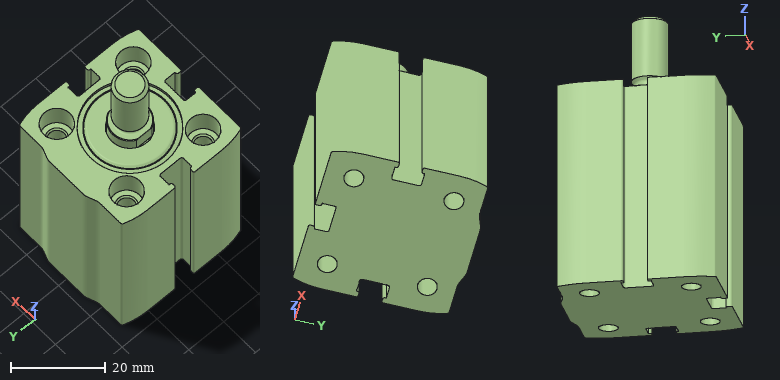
import cadquery as cq
import math

housing_height = 45.5
total_height = 64.5

width = 34.5
half_width = width / 2
back_y = 17.1
total_depth = 35.5
hump_flat_half = 5.8
hump_foot_half = 8.8
hump_round = 3.2
side_flat_half = 10.65
corner_x = 16.1
corner_round = 0.6

slot_mouth = 5.15
slot_width = 6.5
slot_depth = 4.5
slot_lip = 1.4
lip_outer_round = 0.4
slot_inner_round = 0.5

hole_spacing = 21.9
hole_diameter = 4.2
hole_chamfer = 0.4
counterbore_diameter = 7.5
counterbore_depth = 6.45

groove_diameter = 22.4
ledge_diameter = 20.0
ledge_depth = 0.1
ledge_slope = math.radians(30)
ledge_round = 0.1
gap_width = 0.2
cover_radius = 9.2
cover_slope = math.radians(40)
cover_round = 0.5

rod_diameter = 10.0
rod_insertion = 10.0
mouth_diameter = 10.4
mouth_depth = 1.6
collar_height = 3.1
collar_chamfer = 0.2
flat_distance = 8.95
flat_sink = 0.8
flat_end_slope = math.radians(30)
neck_diameter = 6.4
neck_round = 0.6
thread_diameter = 8.0
thread_start = 50.75
tip_diameter = 6.4

collar_top = housing_height + collar_height

pick_margin = 0.03


def revolve_about_z(outline):
    """Solid of revolution about the Z axis from (radius, height) points."""
    return cq.Workplane("XZ").polyline(outline).close().revolve(360, (0, 0, 0), (0, 1, 0))


def bow_midpoint(end_y):
    """Middle of the +X side's arc, which ends at end_y."""
    run = abs(end_y) - side_flat_half
    sag = half_width - corner_x
    radius = (run**2 + sag**2) / (2 * sag)
    half_angle = math.asin(run / radius) / 2
    mid_x = half_width - radius * (1 - math.cos(half_angle))
    mid_y = side_flat_half + radius * math.sin(half_angle)
    return mid_x, math.copysign(mid_y, end_y)


def housing_block():
    """Extruded outline: square with bowed X sides and a hump on +Y."""
    front_mid_x, front_mid_y = bow_midpoint(-half_width)
    back_mid_x, back_mid_y = bow_midpoint(back_y)
    hump_top = total_depth - half_width

    block = (
        cq.Workplane("XY")
        .moveTo(-corner_x, -half_width)
        .lineTo(corner_x, -half_width)
        .threePointArc((front_mid_x, front_mid_y), (half_width, -side_flat_half))
        .lineTo(half_width, side_flat_half)
        .threePointArc((back_mid_x, back_mid_y), (corner_x, back_y))
        .lineTo(hump_foot_half, back_y)
        .lineTo(hump_flat_half, hump_top)
        .lineTo(-hump_flat_half, hump_top)
        .lineTo(-hump_foot_half, back_y)
        .lineTo(-corner_x, back_y)
        .threePointArc((-back_mid_x, back_mid_y), (-half_width, side_flat_half))
        .lineTo(-half_width, -side_flat_half)
        .threePointArc((-front_mid_x, front_mid_y), (-corner_x, -half_width))
        .close()
        .extrude(housing_height)
    )
    corners = [(sx * corner_x, y) for sx in (-1, 1) for y in (-half_width, back_y)]
    hump_bends = [(sx * x, y) for sx in (-1, 1)
                  for x, y in ((hump_flat_half, hump_top), (hump_foot_half, back_y))]
    block = fillet_upright_edges(block, corners, corner_round)
    return fillet_upright_edges(block, hump_bends, hump_round)


def fillet_upright_edges(body, places, radius):
    """Round the full-height edges that stand at the given (x, y) places."""
    for x, y in places:
        box = cq.selectors.BoxSelector(
            (x - pick_margin, y - pick_margin, 0),
            (x + pick_margin, y + pick_margin, housing_height),
        )
        body = body.edges("|Z").edges(box).fillet(radius)
    return body


def cut_slot(body, angle):
    """Cut the -Y slot, turned by angle about Z, and round its edges."""
    turn = math.radians(angle)
    lip_y = -half_width + slot_lip
    floor_y = -half_width + slot_depth
    slot = (
        cq.Workplane("XY")
        .moveTo(-slot_mouth / 2, -half_width)
        .lineTo(-slot_mouth / 2, lip_y)
        .lineTo(-slot_width / 2, lip_y)
        .lineTo(-slot_width / 2, floor_y)
        .lineTo(slot_width / 2, floor_y)
        .lineTo(slot_width / 2, lip_y)
        .lineTo(slot_mouth / 2, lip_y)
        .lineTo(slot_mouth / 2, -half_width)
        .close()
        .extrude(housing_height)
        .rotate((0, 0, 0), (0, 0, 1), angle)
    )

    def both_sides(x, y):
        return [(sx * x * math.cos(turn) - y * math.sin(turn),
                 sx * x * math.sin(turn) + y * math.cos(turn)) for sx in (-1, 1)]

    body = body.cut(slot)
    body = fillet_upright_edges(body, both_sides(slot_mouth / 2, -half_width), lip_outer_round)
    body = fillet_upright_edges(body, both_sides(slot_mouth / 2, lip_y), slot_inner_round)
    return fillet_upright_edges(body, both_sides(slot_width / 2, floor_y), slot_inner_round)


def cut_mounting_holes(body):
    """Four through holes, each with a deep counterbore and a chamfered floor edge."""
    floor_z = housing_height - counterbore_depth
    hole_radius = hole_diameter / 2
    hole = revolve_about_z([
        (0, 0),
        (hole_radius, 0),
        (hole_radius, floor_z - hole_chamfer),
        (hole_radius + hole_chamfer, floor_z),
        (counterbore_diameter / 2, floor_z),
        (counterbore_diameter / 2, housing_height),
        (0, housing_height),
    ])
    for sx in (-1, 1):
        for sy in (-1, 1):
            body = body.cut(hole.translate((sx * hole_spacing / 2, sy * hole_spacing / 2, 0)))
    return body


def cut_ring_groove(body):
    """Groove with a ledge that falls outward and a cover edge that falls outward."""
    outer = groove_diameter / 2
    ledge = ledge_diameter / 2
    gap_inner = ledge - gap_width
    ledge_foot = ledge_depth + (outer - ledge) * math.tan(ledge_slope)
    gap_depth = (gap_inner - cover_radius) * math.tan(cover_slope)
    ledge_top_z = housing_height - ledge_depth
    groove = revolve_about_z([
        (cover_radius, housing_height),
        (gap_inner, housing_height - gap_depth),
        (ledge, housing_height - gap_depth),
        (ledge, ledge_top_z),
        (outer, housing_height - ledge_foot),
        (outer, housing_height),
    ])
    body = body.cut(groove)
    body = fillet_ring(body, cover_radius, housing_height, cover_round)
    return fillet_ring(body, ledge, ledge_top_z, ledge_round)


def fillet_ring(body, radius, height, round_radius):
    """Round the circular edge of the given radius and height around the Z axis."""
    reach = radius + pick_margin
    box = cq.selectors.BoxSelector(
        (-reach, -reach, height - pick_margin),
        (reach, reach, height + pick_margin),
        boundingbox=True,
    )
    rings = body.edges("%CIRCLE").edges(box)
    outermost = max(rings.vals(), key=lambda edge: edge.radius())
    return body.newObject([outermost]).fillet(round_radius)


def make_housing():
    body = housing_block()
    for angle in (0, 90, -90):
        body = cut_slot(body, angle)
    body = cut_mounting_holes(body)
    body = cut_ring_groove(body)
    bore = (
        cq.Workplane("XY")
        .workplane(offset=housing_height - rod_insertion)
        .circle(rod_diameter / 2)
        .extrude(rod_insertion)
    )
    mouth = (
        cq.Workplane("XY")
        .workplane(offset=housing_height - mouth_depth)
        .circle(mouth_diameter / 2)
        .extrude(mouth_depth)
    )
    return body.cut(bore).cut(mouth)


def flat_cutter(side):
    """Prism beyond one wrench flat; its floor falls outward."""
    inner = flat_distance / 2
    outer = rod_diameter / 2
    floor_z = housing_height - flat_sink
    floor_drop = (outer - inner) * math.tan(flat_end_slope)
    return (
        cq.Workplane("XZ")
        .polyline([
            (side * inner, collar_top),
            (side * inner, floor_z),
            (side * outer, floor_z - floor_drop),
            (side * outer, collar_top),
        ])
        .close()
        .extrude(rod_diameter / 2, both=True)
    )


def make_rod():
    rod_radius = rod_diameter / 2
    neck_radius = neck_diameter / 2
    thread_radius = thread_diameter / 2
    tip_chamfer = (thread_diameter - tip_diameter) / 2
    neck_top = thread_start - (thread_radius - neck_radius)
    rod = revolve_about_z([
        (0, housing_height - rod_insertion),
        (rod_radius, housing_height - rod_insertion),
        (rod_radius, collar_top - collar_chamfer),
        (rod_radius - collar_chamfer, collar_top),
        (neck_radius, collar_top),
        (neck_radius, neck_top),
        (thread_radius, thread_start),
        (thread_radius, total_height - tip_chamfer),
        (tip_diameter / 2, total_height),
        (0, total_height),
    ])
    rod = fillet_ring(rod, neck_radius, collar_top, neck_round)
    rod = fillet_ring(rod, neck_radius, neck_top, neck_round)
    for side in (-1, 1):
        rod = rod.cut(flat_cutter(side))
    return rod


housing = make_housing()
rod = make_rod()
result = cq.Compound.makeCompound([housing.val(), rod.val()])